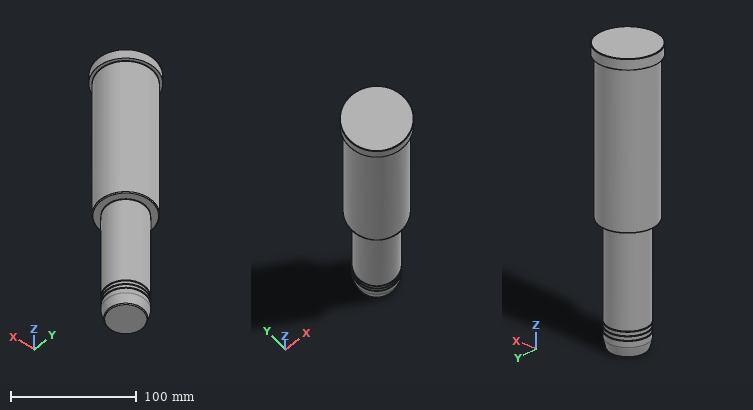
import cadquery as cq

total_length = 271.0
head_diameter = 59.0
head_height = 10.0
head_edge = 0.5

body_diameter = 54.0
body_length = 146.3
body_edge = 0.8

shaft_diameter = 39.8

neck_height = 0.8
neck_depth = 0.3

groove_count = 3
first_groove_height = 15.5
groove_pitch = 4.0
groove_width = 0.8
groove_depth = 0.3

nose_height = 10.0
nose_bulge = 0.3
tip_diameter = 35.2
tip_edge = 0.8

head_radius = head_diameter / 2
body_radius = body_diameter / 2
shaft_radius = shaft_diameter / 2
tip_radius = tip_diameter / 2
head_bottom = total_length - head_height
body_bottom = head_bottom - body_length


def ring_groove(outer_radius, depth, bottom, width):
    """Ring of material to cut from a cylinder of the given outer radius."""
    return (
        cq.Workplane("XY", origin=(0, 0, bottom))
        .circle(outer_radius)
        .circle(outer_radius - depth)
        .extrude(width)
    )


nose_middle = (
    (tip_radius + shaft_radius) / 2 + nose_bulge,
    (tip_edge + nose_height) / 2,
)
pin = (
    cq.Workplane("XZ")
    .lineTo(tip_radius - tip_edge, 0)
    .lineTo(tip_radius, tip_edge)
    .threePointArc(nose_middle, (shaft_radius, nose_height))
    .lineTo(shaft_radius, body_bottom)
    .lineTo(body_radius - body_edge, body_bottom)
    .lineTo(body_radius, body_bottom + body_edge)
    .lineTo(body_radius, head_bottom)
    .lineTo(head_radius, head_bottom)
    .lineTo(head_radius, total_length - head_edge)
    .lineTo(head_radius - head_edge, total_length)
    .lineTo(0, total_length)
    .close()
    .revolve(360, (0, 0, 0), (0, 1, 0))
)

for radius, shoulder in ((body_radius, head_bottom), (shaft_radius, body_bottom)):
    pin = pin.cut(ring_groove(radius, neck_depth, shoulder - neck_height, neck_height))

for index in range(groove_count):
    groove_bottom = first_groove_height + index * groove_pitch
    pin = pin.cut(ring_groove(shaft_radius, groove_depth, groove_bottom, groove_width))

result = pin